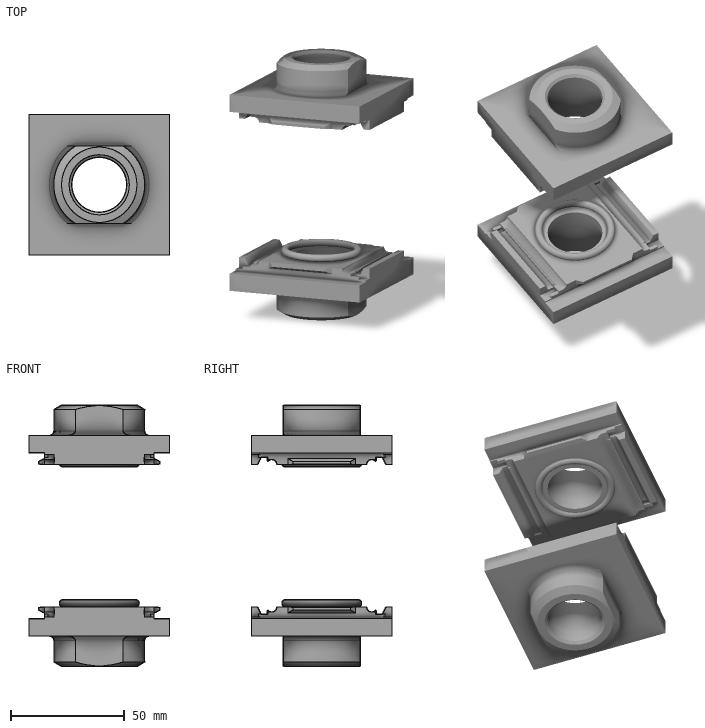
import cadquery as cq
import math

TOTAL_HEIGHT = 115.0
PLATE_SIDE = 62.0

PLATE_BOTTOM = 13.3
PLATE_TOP = 21.0
POCKET_FLOOR = 21.7
CHANNEL_FLOOR = 23.0
FACE = 26.2

NUT_DIAMETER = 40.0
NUT_ACROSS_FLATS = 34.0
NUT_CHAMFER_WIDTH = 3.5
NUT_CHAMFER_ANGLE = 30.0
NUT_BASE_RADIUS = 2.0
BORE_DIAMETER = 24.0
ENTRY_DIAMETER = 24.2
ENTRY_DEPTH = 16.1
ENTRY_TAPER_DEPTH = 2.4
ENTRY_CHAMFER = 1.2

BLOCK_WIDTH = 48.3
LIP_LENGTH = 39.8
GROOVE_RADIUS = 2.2
FACE_HALF_DEPTH = 19.8
CHANNEL_INNER = 23.8
LIP_TOP_INNER = 28.2
LIP_FOOT_INNER = 26.6

RIDGE_OVERHANG = 0.2
RIDGE_BOTTOM = 23.6
RIDGE_SHOULDER = 24.4
RIDGE_TOP = 24.8

DAM_WIDTH = 1.6
DAM_END = 27.7
DAM_ROUND = 0.5

HOOK_REACH = 2.5
HOOK_ROOT_LENGTH = 29.9
HOOK_TIP_LENGTH = 25.3
HOOK_ROOT_BOTTOM = 23.5
HOOK_TIP_BOTTOM = 24.8
HOOK_TIP_TOP = 26.0

RING_OUTER_DIAMETER = 35.2
RING_TUBE_DIAMETER = 3.2
SEATED_RING_HEIGHT = 1.0

half_side = PLATE_SIDE / 2
half_block = BLOCK_WIDTH / 2
half_lip = LIP_LENGTH / 2
groove_axis = FACE_HALF_DEPTH + GROOVE_RADIUS
ledge_level = FACE - GROOVE_RADIUS
half_height = TOTAL_HEIGHT / 2
ring_tube_radius = RING_TUBE_DIAMETER / 2
ring_mean_radius = (RING_OUTER_DIAMETER - RING_TUBE_DIAMETER) / 2
seat_depth = RING_TUBE_DIAMETER - SEATED_RING_HEIGHT


def box(x_range, y_range, z_range):
    """Axis-aligned box spanning the given (low, high) ranges."""
    size = [high - low for low, high in (x_range, y_range, z_range)]
    corner = (x_range[0], y_range[0], z_range[0])
    return cq.Workplane("XY").box(*size, centered=False).translate(corner)


def both_sides(shape, plane):
    """The shape together with its mirror image."""
    return shape.union(shape.mirror(plane))


def make_nut():
    """Round nut with a chamfered end, a filleted base and two flats."""
    radius = NUT_DIAMETER / 2
    chamfer_height = NUT_CHAMFER_WIDTH * math.tan(math.radians(NUT_CHAMFER_ANGLE))
    base_bend = NUT_BASE_RADIUS * (1 - math.sqrt(0.5))
    turned = (
        cq.Workplane("XZ")
        .lineTo(radius - NUT_CHAMFER_WIDTH, 0)
        .lineTo(radius, chamfer_height)
        .lineTo(radius, PLATE_BOTTOM - NUT_BASE_RADIUS)
        .threePointArc(
            (radius + base_bend, PLATE_BOTTOM - base_bend),
            (radius + NUT_BASE_RADIUS, PLATE_BOTTOM),
        )
        .lineTo(0, PLATE_BOTTOM)
        .close()
        .revolve(360, (0, 0, 0), (0, 1, 0))
    )
    half_flats = NUT_ACROSS_FLATS / 2
    flats = box((-half_side, half_side), (-half_flats, half_flats), (0, PLATE_BOTTOM))
    return turned.intersect(flats)


def make_block():
    """Raised block: face, quarter-round grooves, channels and sloped lips."""
    bend = GROOVE_RADIUS * math.sqrt(0.5)
    half = (
        cq.Workplane("YZ", origin=(-half_block, 0, 0))
        .moveTo(0, PLATE_TOP)
        .lineTo(half_side, PLATE_TOP)
        .lineTo(half_side, FACE)
        .lineTo(LIP_TOP_INNER, FACE)
        .lineTo(LIP_FOOT_INNER, CHANNEL_FLOOR)
        .lineTo(CHANNEL_INNER, CHANNEL_FLOOR)
        .lineTo(CHANNEL_INNER, ledge_level)
        .lineTo(groove_axis, ledge_level)
        .threePointArc((groove_axis - bend, FACE - bend), (FACE_HALF_DEPTH, FACE))
        .lineTo(0, FACE)
        .close()
        .extrude(BLOCK_WIDTH)
    )
    return both_sides(half, "XZ")


def make_corner_pockets():
    """Cutters that end the lips and deepen the channels at the four corners."""
    pocket = box((half_lip, half_block), (CHANNEL_INNER, half_side), (POCKET_FLOOR, FACE))
    return both_sides(both_sides(pocket, "XZ"), "YZ")


def make_dams():
    """Low round-ended walls along the outer side of each corner pocket."""
    dam = box(
        (half_block - DAM_WIDTH, half_block),
        (CHANNEL_INNER, DAM_END),
        (POCKET_FLOOR, CHANNEL_FLOOR),
    )
    dam = dam.faces(">Y").edges("|Z").fillet(DAM_ROUND)
    return both_sides(both_sides(dam, "XZ"), "YZ")


def make_ridges():
    """Small ridge along each channel wall, its inner side carrying on the groove's curve."""
    outer = CHANNEL_INNER + RIDGE_OVERHANG
    sweep_angle = math.acos(1 - (RIDGE_TOP - ledge_level) / GROOVE_RADIUS)

    def groove_point(angle):
        """Point on the groove circle, the angle taken from straight down."""
        y = groove_axis + GROOVE_RADIUS * math.sin(angle)
        z = FACE - GROOVE_RADIUS * math.cos(angle)
        return y, z

    ridge = (
        cq.Workplane("YZ", origin=(-half_lip, 0, 0))
        .moveTo(outer, RIDGE_BOTTOM)
        .lineTo(groove_axis, RIDGE_BOTTOM)
        .lineTo(groove_axis, ledge_level)
        .threePointArc(groove_point(sweep_angle / 2), groove_point(sweep_angle))
        .lineTo(outer, RIDGE_SHOULDER)
        .close()
        .extrude(LIP_LENGTH)
    )
    return both_sides(ridge, "XZ")


def make_hooks():
    """Tapered snap hook on each X side of the block."""
    root_height = FACE - HOOK_ROOT_BOTTOM
    tip_height = HOOK_TIP_TOP - HOOK_TIP_BOTTOM
    root_middle = (FACE + HOOK_ROOT_BOTTOM) / 2
    tip_middle = (HOOK_TIP_TOP + HOOK_TIP_BOTTOM) / 2
    hook = (
        cq.Workplane("YZ", origin=(half_block, 0, root_middle))
        .rect(HOOK_ROOT_LENGTH, root_height)
        .workplane(offset=HOOK_REACH)
        .center(0, tip_middle - root_middle)
        .rect(HOOK_TIP_LENGTH, tip_height)
        .loft(ruled=True)
    )
    return both_sides(hook, "YZ")


def make_bore():
    """Through bore with a slightly wider, chamfered entry from the nut end."""
    bore_radius = BORE_DIAMETER / 2
    entry_radius = ENTRY_DIAMETER / 2
    return (
        cq.Workplane("XZ")
        .lineTo(entry_radius + ENTRY_CHAMFER, 0)
        .lineTo(entry_radius, ENTRY_CHAMFER)
        .lineTo(entry_radius, ENTRY_DEPTH)
        .lineTo(bore_radius, ENTRY_DEPTH + ENTRY_TAPER_DEPTH)
        .lineTo(bore_radius, FACE)
        .lineTo(0, FACE)
        .close()
        .revolve(360, (0, 0, 0), (0, 1, 0))
    )


def make_ring_seat():
    """Annular seat, as wide as the sealing ring, sunk into the mating face."""
    return (
        cq.Workplane("XY", origin=(0, 0, FACE - seat_depth))
        .circle(ring_mean_radius + ring_tube_radius)
        .circle(ring_mean_radius - ring_tube_radius)
        .extrude(seat_depth)
    )


def make_housing():
    """Housing with its nut end at Z = 0 and its mating face upward."""
    plate = box((-half_side, half_side), (-half_side, half_side), (PLATE_BOTTOM, PLATE_TOP))
    block = make_block().cut(make_corner_pockets()).union(make_dams()).union(make_ridges())
    body = plate.union(make_nut()).union(block).union(make_hooks())
    return body.cut(make_bore())


def make_ring(height_above_face):
    """Sealing ring whose top stands the given height above the mating face."""
    center = cq.Vector(0, 0, FACE + height_above_face - ring_tube_radius)
    ring = cq.Solid.makeTorus(ring_mean_radius, ring_tube_radius, center)
    return cq.Workplane(obj=ring)


def lower(body):
    """Move a body down so that its nut end is at the bottom of the assembly."""
    return body.translate((0, 0, -half_height))


def turn_over(body):
    """Turn a body over to the other end of the assembly."""
    return body.rotate((0, 0, 0), (1, 0, 0), 180)


lower_housing = lower(make_housing())
lower_ring = lower(make_ring(RING_TUBE_DIAMETER))

seated_ring = make_ring(SEATED_RING_HEIGHT)
seated_housing = make_housing().cut(make_ring_seat())
upper_housing = turn_over(lower(seated_housing))
upper_ring = turn_over(lower(seated_ring))

result = cq.Compound.makeCompound([
    *lower_housing.solids().vals(),
    *lower_ring.solids().vals(),
    *upper_housing.solids().vals(),
    *upper_ring.solids().vals(),
])